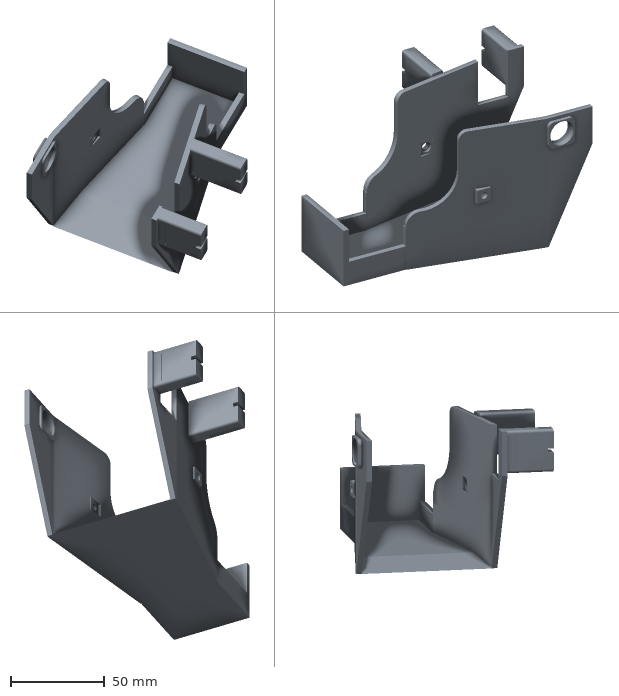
import cadquery as cq
import math

LEFT = -1
RIGHT = 1

total_length = 144.0
flap_length = 27.0
tray_length = 38.2
chute_rear_y = total_length - tray_length

wall = 3.0
floor_thickness = 3.9
back_thickness = 3.3

wall_height = 78.0
front_half_width = 38.5
rear_half_width = 23.0
stub_length = 1.3
ramp_top_y = 51.9
ramp_front_y = 26.5
stub_rear_y = flap_length + stub_length
taper_angle = math.atan2(front_half_width - rear_half_width, chute_rear_y - stub_rear_y)
wall_width_x = wall / math.cos(taper_angle)

scoop_floor_z = 34.0
scoop_radius = 21.0
crest_radius = 8.4
top_radius = 5.2
cut_clearance = 7.2
scoop_edge_y = {LEFT: 76.8, RIGHT: 84.7}

tray_half_width = 22.8
tray_side_height = 14.1
tray_back_height = 33.7

flap_front_bottom_z = 55.7
notch_bottom_z = 51.7

block_length_y = 8.5
block_height = 7.9
block_inner_x = 29.0
block_outer_x = 33.3
block_center_y = 63.7
block_center_z = 38.6
block_bore = {LEFT: 4.0, RIGHT: 4.5}
right_counterbore = 5.8
right_counterbore_depth = 1.9

holder_size = 16.0
holder_corner = 2.9
holder_outer_x = -40.6
holder_inner_x = -34.3
holder_bore = 14.3
holder_center_y = 20.0
holder_center_z = 68.1

arm_end_x = 64.0
arm_width = 8.2
arm_height = 23.2
arm_top_z = 79.8
arm_corner = 1.5
arm_center_z = arm_top_z - arm_height / 2
front_arm_center_y = 5.6
rear_arm_center_y = 54.6
front_arm_start_x = 37.3
arm_notch_depth = 3.0
arm_notch_height = 2.3
arm_groove_x = 42.9
arm_groove_width = 0.3
arm_groove_depth = 0.5
arm_groove_height = 17.4
post_width = front_arm_center_y + arm_width / 2


def box(x_range, y_range, z_range):
    """Axis-aligned box between the given limits."""
    size = [abs(end - start) for start, end in (x_range, y_range, z_range)]
    corner = [min(limits) for limits in (x_range, y_range, z_range)]
    return cq.Workplane("XY").box(*size, centered=False).translate(tuple(corner))


def side_wall_footprint(side):
    """Plan outline of one tapered wall with its short straight front stub."""
    outer = [
        (front_half_width, flap_length),
        (front_half_width, stub_rear_y),
        (rear_half_width, chute_rear_y),
    ]
    inner = [
        (rear_half_width - wall_width_x, chute_rear_y),
        (front_half_width - wall_width_x, stub_rear_y),
        (front_half_width - wall_width_x, flap_length),
    ]
    return [(side * x, y) for x, y in outer + inner]


def scoop_plane(side):
    """Plane on the outer face of a wall: X runs forward from the rear end, its normal points outward."""
    return cq.Plane(
        origin=(side * rear_half_width, chute_rear_y, 0),
        xDir=(side * math.sin(taper_angle), -math.cos(taper_angle), 0),
        normal=(side * math.cos(taper_angle), math.sin(taper_angle), 0),
    )


def scoop_cutter(side):
    """Space above the scooped rear edge, cut square to the tapered wall."""
    plane = scoop_plane(side)
    up = round(plane.yDir.z)

    def at(x, z):
        return (x, up * z)

    def on_arc(center, radius, angle):
        return at(center[0] + radius * math.cos(angle), center[1] + radius * math.sin(angle))

    edge_x = (chute_rear_y - scoop_edge_y[side]) / math.cos(taper_angle)
    scoop_center = (edge_x - scoop_radius, scoop_floor_z + scoop_radius)
    top_center = (edge_x + top_radius, wall_height - top_radius)

    center_distance = scoop_radius + crest_radius
    offset_x = scoop_center[0] - crest_radius
    offset_z = math.sqrt(center_distance**2 - offset_x**2)
    crest_center = (crest_radius, scoop_center[1] - offset_z)
    meet_angle = math.atan2(offset_z, offset_x)
    meeting_point = on_arc(crest_center, crest_radius, meet_angle)
    crest_mid_angle = (math.pi + meet_angle) / 2
    scoop_mid_angle = (meet_angle - math.pi) / 2
    top_mid_angle = math.radians(135)

    return (
        cq.Workplane(plane)
        .moveTo(*at(-cut_clearance, crest_center[1]))
        .lineTo(*at(0, crest_center[1]))
        .threePointArc(on_arc(crest_center, crest_radius, crest_mid_angle), meeting_point)
        .threePointArc(on_arc(scoop_center, scoop_radius, scoop_mid_angle), at(edge_x, scoop_center[1]))
        .lineTo(*at(edge_x, top_center[1]))
        .threePointArc(on_arc(top_center, top_radius, top_mid_angle), at(top_center[0], wall_height))
        .lineTo(*at(top_center[0], wall_height + cut_clearance))
        .lineTo(*at(-cut_clearance, wall_height + cut_clearance))
        .close()
        .extrude(wall + cut_clearance, both=True)
    )


def nut_block_blank(side, inner_x):
    """Square block without its bore, from the given distance off the mid-plane to its outer face."""
    return box(
        (side * inner_x, side * block_outer_x),
        (block_center_y - block_length_y / 2, block_center_y + block_length_y / 2),
        (block_center_z - block_height / 2, block_center_z + block_height / 2),
    )


def make_nut_block(side):
    """Square block bored through along X; the right one is counterbored from its inner face."""
    inner_face_center = (side * block_inner_x, block_center_y, block_center_z)
    bore_plane = cq.Workplane("YZ", origin=inner_face_center)
    bore = bore_plane.circle(block_bore[side] / 2).extrude(side * (block_outer_x - block_inner_x))
    block = nut_block_blank(side, block_inner_x).cut(bore)
    if side == RIGHT:
        block = block.cut(bore_plane.circle(right_counterbore / 2).extrude(right_counterbore_depth))
    return block


def holder_body():
    """Rounded square of the ring holder without its bore."""
    return (
        cq.Workplane("YZ", origin=(holder_outer_x, 0, 0))
        .center(holder_center_y, holder_center_z)
        .rect(holder_size, holder_size)
        .extrude(holder_inner_x - holder_outer_x)
        .edges("|X")
        .fillet(holder_corner)
    )


def make_ring_holder():
    bore = (
        cq.Workplane("YZ", origin=(holder_outer_x, 0, 0))
        .center(holder_center_y, holder_center_z)
        .circle(holder_bore / 2)
        .extrude(holder_inner_x - holder_outer_x)
    )
    return holder_body().cut(bore)


def make_funnel():
    """Floor with a ramped front and two tapered, scooped side walls."""
    inner_half_width = front_half_width - wall_width_x
    right_edge = [
        (inner_half_width, ramp_front_y),
        (inner_half_width, flap_length),
        (front_half_width, flap_length),
        (front_half_width, stub_rear_y),
        (rear_half_width, chute_rear_y),
    ]
    left_edge = [(-x, y) for x, y in reversed(right_edge)]
    funnel = cq.Workplane("XY").polyline(right_edge + left_edge).close().extrude(floor_thickness)
    ramp = (
        cq.Workplane("YZ", origin=(-front_half_width, 0, 0))
        .polyline([(ramp_front_y, 0), (ramp_top_y, floor_thickness), (ramp_front_y, floor_thickness)])
        .close()
        .extrude(2 * front_half_width)
    )
    funnel = funnel.cut(ramp)
    for side in (LEFT, RIGHT):
        side_wall = cq.Workplane("XY").polyline(side_wall_footprint(side)).close().extrude(wall_height)
        side_wall = side_wall.cut(scoop_cutter(side)).cut(nut_block_blank(side, rear_half_width))
        funnel = funnel.union(side_wall)
    stub_notch = box((0, front_half_width), (flap_length, stub_rear_y), (notch_bottom_z, wall_height))
    return funnel.cut(stub_notch).cut(holder_body())


def make_tray():
    """Open tray behind the funnel, with low sides and a taller back."""
    full_width = (-tray_half_width, tray_half_width)
    tray = box(full_width, (chute_rear_y, total_length), (0, tray_side_height))
    inside = box(
        (wall - tray_half_width, tray_half_width - wall),
        (chute_rear_y, total_length - back_thickness),
        (floor_thickness, tray_side_height),
    )
    back = box(full_width, (total_length - back_thickness, total_length), (0, tray_back_height))
    return tray.cut(inside).union(back)


def flap_plate(side, outline):
    """Upright plate in line with the front of one funnel wall."""
    plate = cq.Workplane("YZ").polyline(outline).close().extrude(wall)
    left_x = front_half_width - wall if side == RIGHT else -front_half_width
    return plate.translate((left_x, 0, 0))


def make_left_flap():
    outline = [(0, flap_front_bottom_z), (flap_length, 0), (flap_length, wall_height), (0, wall_height)]
    return flap_plate(LEFT, outline).cut(holder_body())


def make_right_flap():
    """Notched flap whose front post holds the front arm in a recess."""
    outline = [
        (0, flap_front_bottom_z),
        (flap_length, 0),
        (flap_length, notch_bottom_z),
        (post_width, notch_bottom_z),
        (post_width, arm_top_z),
        (0, arm_top_z),
    ]
    rear_opening = box(
        (front_arm_start_x, front_half_width), (front_arm_center_y, post_width), (arm_center_z, arm_top_z)
    )
    arm_recess = arm_bar(front_arm_center_y, front_arm_start_x)
    return flap_plate(RIGHT, outline).cut(arm_recess).cut(rear_opening)


def arm_bar(center_y, start_x):
    """Bar along X with rounded long edges and a notch through its free end."""
    bar = (
        cq.Workplane("YZ", origin=(start_x, 0, 0))
        .center(center_y, arm_center_z)
        .rect(arm_width, arm_height)
        .extrude(arm_end_x - start_x)
        .edges("|X")
        .fillet(arm_corner)
    )
    notch = box(
        (arm_end_x - arm_notch_depth, arm_end_x),
        (center_y - arm_width / 2, center_y + arm_width / 2),
        (arm_center_z - arm_notch_height / 2, arm_center_z + arm_notch_height / 2),
    )
    return bar.cut(notch)


def make_front_arm():
    """Arm seated in the post, with a thin upright groove in its front face."""
    front_y = front_arm_center_y - arm_width / 2
    groove = box(
        (arm_groove_x, arm_groove_x + arm_groove_width),
        (front_y, front_y + arm_groove_depth),
        (arm_center_z - arm_groove_height / 2, arm_center_z + arm_groove_height / 2),
    )
    return arm_bar(front_arm_center_y, front_arm_start_x).cut(groove)


def make_rear_arm():
    """Arm whose inner end is trimmed to the outer face of the right funnel wall."""
    inside_outline = [
        (0, stub_rear_y),
        (front_half_width, stub_rear_y),
        (rear_half_width, chute_rear_y),
        (0, chute_rear_y),
    ]
    inside_of_wall = cq.Workplane("XY").polyline(inside_outline).close().extrude(arm_top_z)
    return arm_bar(rear_arm_center_y, rear_half_width).cut(inside_of_wall)


funnel = make_funnel()
tray = make_tray()
left_flap = make_left_flap()
right_flap = make_right_flap()
nut_blocks = [make_nut_block(side) for side in (LEFT, RIGHT)]
ring_holder = make_ring_holder()
front_arm = make_front_arm()
rear_arm = make_rear_arm()

result = cq.Compound.makeCompound(
    [
        funnel.val(),
        tray.val(),
        left_flap.val(),
        right_flap.val(),
        *[block.val() for block in nut_blocks],
        ring_holder.val(),
        front_arm.val(),
        rear_arm.val(),
    ]
)